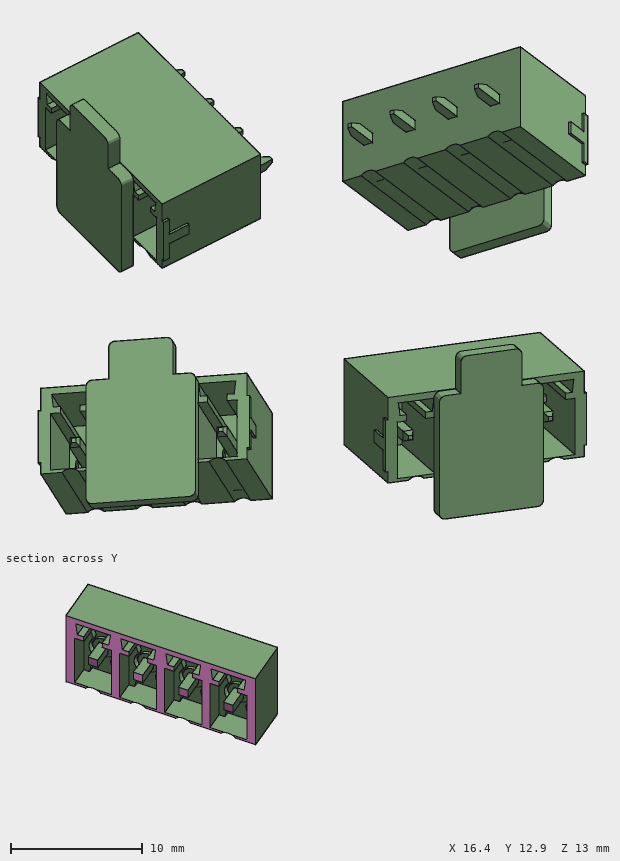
import cadquery as cq
import math


pin_count = 4
pin_pitch = 3.81
pin_width = 0.8
pin_tip_width = 0.35
pin_tail_taper = 0.79
pin_front_taper = 0.5
pin_tail = 2.6
pin_front_y = 1.2
pin_positions = [(i - (pin_count - 1) / 2) * pin_pitch for i in range(pin_count)]

overall_width = 16.43
key_thickness = 0.2
housing_width = overall_width - 2 * key_thickness
housing_depth = 9.2
housing_top = 3.96
housing_bottom = -2.97

cell_half_width = 1.55
cell_top = 1.85
cell_bottom = -2.71
cell_depth = 6.9
floor_recess = 0.5
slot_depth = cell_depth + floor_recess
slot_top = 3.4
slot_bottom = 2.37
slot_top_half_width = 1.45
slot_bottom_half_width = 1.31
gap_half_width = 0.77
waist_end_half_width = 1.05
waist_neck_half_width = 0.7
waist_diameter = 2.2
boss_diameter = 1.8
boss_height = 0.25

groove_width = 1.28
groove_height = 0.25

key_center_z = 0.05
key_bar_height = 4.2
key_bar_length = 0.53
key_stem_height = 1.0
key_stem_length = 2.38

plate_width = 8.51
plate_thickness = 1.1
plate_height = 9.99
plate_shoulder_z = 3.91
plate_corner_radius = 0.5
tab_width = 5.0
tab_height = 3.0


def box(x_min, x_max, y_min, y_max, z_min, z_max):
    size = (x_max - x_min, y_max - y_min, z_max - z_min)
    return cq.Workplane("XY").box(*size, centered=False).translate((x_min, y_min, z_min))


def sketch_plane(y=0.0):
    """Plane parallel to the mating face; local axes are X and Z, extrusion runs toward -Y."""
    return cq.Workplane("XZ", origin=(0, y, 0))


def make_key(side):
    """T-shaped key on one end; side is -1 or +1."""
    x_min, x_max = sorted((side * housing_width / 2, side * overall_width / 2))
    bar_z = (key_center_z - key_bar_height / 2, key_center_z + key_bar_height / 2)
    stem_z = (key_center_z - key_stem_height / 2, key_center_z + key_stem_height / 2)
    bar = box(x_min, x_max, 0, key_bar_length, *bar_z)
    stem = box(x_min, x_max, 0, key_stem_length, *stem_z)
    return bar.union(stem)


def make_cell():
    """Cavity around one pin: cell, dovetail slot above it and the waisted floor recess."""
    cell = box(-cell_half_width, cell_half_width, 0, cell_depth, cell_bottom, cell_top)
    gap = box(-gap_half_width, gap_half_width, 0, slot_depth, cell_top, slot_bottom)
    slot = (
        sketch_plane()
        .polyline([
            (-slot_bottom_half_width, slot_bottom),
            (slot_bottom_half_width, slot_bottom),
            (slot_top_half_width, slot_top),
            (-slot_top_half_width, slot_top),
        ])
        .close()
        .extrude(-slot_depth)
    )
    boss = sketch_plane(slot_depth).circle(boss_diameter / 2).extrude(boss_height)
    return cell.union(gap).union(slot).union(make_floor_recess()).cut(boss)


def make_floor_recess():
    """Recess flaring above and below the pin, with a round bulge around the pin."""
    bulge = waist_diameter / 2
    neck_x = waist_neck_half_width
    neck_z = math.sqrt(bulge**2 - neck_x**2)
    return (
        sketch_plane()
        .moveTo(-waist_end_half_width, cell_bottom)
        .lineTo(waist_end_half_width, cell_bottom)
        .lineTo(neck_x, -neck_z)
        .threePointArc((bulge, 0), (neck_x, neck_z))
        .lineTo(waist_end_half_width, cell_top)
        .lineTo(-waist_end_half_width, cell_top)
        .lineTo(-neck_x, neck_z)
        .threePointArc((-bulge, 0), (-neck_x, -neck_z))
        .close()
        .extrude(-slot_depth)
    )


def make_groove():
    """Arched groove running the full depth of the underside below one pin."""
    return (
        sketch_plane()
        .moveTo(-groove_width / 2, housing_bottom)
        .threePointArc((0, housing_bottom + groove_height), (groove_width / 2, housing_bottom))
        .close()
        .extrude(-housing_depth)
    )


def make_pin():
    """Square pin with a tapered tip at each end."""
    tail_y = housing_depth + pin_tail
    shank_front = pin_front_y + pin_front_taper
    shank_back = tail_y - pin_tail_taper
    shank = sketch_plane(shank_back).rect(pin_width, pin_width).extrude(shank_back - shank_front)
    front_tip = (
        sketch_plane(shank_front)
        .rect(pin_width, pin_width)
        .workplane(offset=pin_front_taper)
        .rect(pin_tip_width, pin_tip_width)
        .loft()
    )
    back_tip = (
        sketch_plane(tail_y)
        .rect(pin_tip_width, pin_tip_width)
        .workplane(offset=pin_tail_taper)
        .rect(pin_width, pin_width)
        .loft()
    )
    return shank.union(front_tip).union(back_tip)


def make_housing():
    half_width = housing_width / 2
    body = box(-half_width, half_width, 0, housing_depth, housing_bottom, housing_top)
    for side in (-1, 1):
        body = body.union(make_key(side))
    pin_hole = sketch_plane(housing_depth).rect(pin_width, pin_width).extrude(housing_depth)
    cutter = make_cell().union(pin_hole)
    for x in pin_positions:
        body = body.cut(cutter.translate((x, 0, 0)))
        body = body.cut(make_groove().translate((x, 0, 0)))
    return body


def make_cover_plate():
    """Flat plate over the mating face with a narrower tab on top and rounded outer corners."""
    half_plate = plate_width / 2
    half_tab = tab_width / 2
    plate_bottom = plate_shoulder_z - plate_height
    tab_top = plate_shoulder_z + tab_height
    plate = box(-half_plate, half_plate, -plate_thickness, 0, plate_bottom, plate_shoulder_z)
    plate = plate.edges("|Y").fillet(plate_corner_radius)
    tab = box(-half_tab, half_tab, -plate_thickness, 0, plate_shoulder_z, tab_top)
    tab = tab.edges("|Y and >Z").fillet(plate_corner_radius)
    return plate.union(tab)


housing = make_housing()
cover_plate = make_cover_plate()
pins = [make_pin().translate((x, 0, 0)) for x in pin_positions]

result = cq.Compound.makeCompound([
    housing.val(),
    cover_plate.val(),
    *[pin.val() for pin in pins],
])